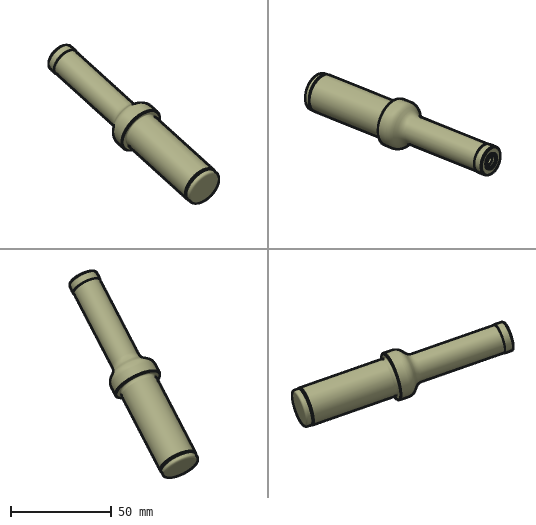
import cadquery as cq
import math

total_length = 114.0
guide_radius = 14.9 / 2
collar_radius = 25.0 / 2
shank_radius = 20.0 / 2
relief_radius = 19.5 / 2

ring_length = 4.9
ring_edge_radius = 7.6
ring_crown_radius = 7.8
ring_front_chamfer = 0.6
ring_front_radius = 7.3
ring_face_rise = 0.1
bore_radius = 4.3

spigot_chamfer = 0.2
countersink_radius = 3.0
pilot_radius = 2.0
countersink_depth = 1.1
pilot_depth = 3.4
pilot_floor_radius = 0.7
pilot_floor_depth = 4.0

flare_start = 49.7
flare_radius = 5.0
flare_angle = math.radians(48)
collar_end = 64.0
collar_chamfer = 0.3

neck_fillet = 0.3
neck_end = 64.9
shank_start = 65.9
shank_end = 110.2
tail_start = 110.9
tail_fillet = 1.1


def revolve_about_x(profile):
    return profile.close().revolve(360, (0, 0, 0), (1, 0, 0))


def flare_offset(angle):
    """Axial and radial travel along one flare arc, from its level end."""
    return flare_radius * math.sin(angle), flare_radius * (1 - math.cos(angle))


def make_arbor():
    arc_run, arc_rise = flare_offset(flare_angle)
    mid_run, mid_rise = flare_offset(flare_angle / 2)
    straight_rise = collar_radius - guide_radius - 2 * arc_rise
    straight_run = straight_rise / math.tan(flare_angle)
    flare_end = flare_start + 2 * arc_run + straight_run
    fillet_mid = 1 - math.sqrt(0.5)

    profile = (
        cq.Workplane("XY")
        .moveTo(pilot_floor_depth, 0)
        .lineTo(pilot_floor_depth, pilot_floor_radius)
        .lineTo(pilot_depth, pilot_radius)
        .lineTo(ring_face_rise + countersink_depth, pilot_radius)
        .lineTo(ring_face_rise, countersink_radius)
        .lineTo(ring_face_rise, bore_radius - spigot_chamfer)
        .lineTo(ring_face_rise + spigot_chamfer, bore_radius)
        .lineTo(ring_length, bore_radius)
        .lineTo(ring_length, guide_radius)
        .lineTo(flare_start, guide_radius)
        .threePointArc(
            (flare_start + mid_run, guide_radius + mid_rise),
            (flare_start + arc_run, guide_radius + arc_rise),
        )
        .lineTo(flare_end - arc_run, collar_radius - arc_rise)
        .threePointArc(
            (flare_end - mid_run, collar_radius - mid_rise),
            (flare_end, collar_radius),
        )
        .lineTo(collar_end - collar_chamfer, collar_radius)
        .lineTo(collar_end, collar_radius - collar_chamfer)
        .lineTo(collar_end, relief_radius + neck_fillet)
        .threePointArc(
            (collar_end + fillet_mid * neck_fillet, relief_radius + fillet_mid * neck_fillet),
            (collar_end + neck_fillet, relief_radius),
        )
        .lineTo(neck_end, relief_radius)
        .lineTo(shank_start, shank_radius)
        .lineTo(shank_end, shank_radius)
        .lineTo(tail_start, relief_radius)
        .lineTo(total_length - tail_fillet, relief_radius)
        .threePointArc(
            (total_length - fillet_mid * tail_fillet, relief_radius - fillet_mid * tail_fillet),
            (total_length, relief_radius - tail_fillet),
        )
        .lineTo(total_length, 0)
    )
    return revolve_about_x(profile)


def make_ring():
    crown_middle = (ring_front_chamfer + ring_length) / 2
    profile = (
        cq.Workplane("XY")
        .moveTo(0, bore_radius)
        .lineTo(ring_face_rise, ring_front_radius)
        .lineTo(ring_front_chamfer, ring_edge_radius)
        .threePointArc((crown_middle, ring_crown_radius), (ring_length, ring_edge_radius))
        .lineTo(ring_length, bore_radius)
    )
    return revolve_about_x(profile)


arbor = make_arbor()
ring = make_ring()

result = cq.Compound.makeCompound([arbor.val(), ring.val()])